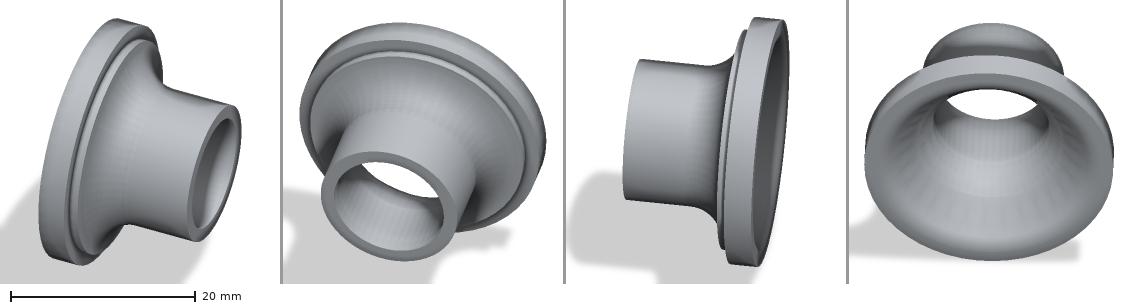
import cadquery as cq
import math

flange_diameter = 27.0
flange_thickness = 3.0
land_diameter = 24.0
land_thickness = 0.92
relief_width = 0.08
relief_depth = 0.1
tube_diameter = 15.4
total_length = 15.0
neck_radius = 4.02

bore_diameter = 12.4
lip_diameter = 24.5
lip_radius = 2.0
throat_radius = 6.0
throat_depth = 8.0

land_start = flange_thickness + relief_width
land_end = land_start + land_thickness
neck_end = land_end + neck_radius
tube_r = tube_diameter / 2
land_r = land_diameter / 2
relief_r = land_r - relief_depth
flange_r = flange_diameter / 2
bore_r = bore_diameter / 2
lip_r = lip_diameter / 2


def point_on_arc(center, radius, angle):
    """Point at an angle in radians, measured from the inward radial toward -X."""
    return (center[0] - radius * math.sin(angle), center[1] - radius * math.cos(angle))


lip_center = (lip_radius, lip_r)
throat_center = (throat_depth, bore_r + throat_radius)
center_dx = throat_center[0] - lip_center[0]
center_dr = throat_center[1] - lip_center[1]
center_distance = math.hypot(center_dx, center_dr)
cone_angle = (
    math.asin((throat_radius - lip_radius) / center_distance)
    - math.atan2(center_dr, center_dx)
)

cone_start = point_on_arc(lip_center, lip_radius, cone_angle)
cone_end = point_on_arc(throat_center, throat_radius, cone_angle)
lip_middle = point_on_arc(lip_center, lip_radius, (math.pi / 2 + cone_angle) / 2)
throat_middle = point_on_arc(throat_center, throat_radius, cone_angle / 2)

neck_center = (neck_end, tube_r + neck_radius)
neck_middle = point_on_arc(neck_center, neck_radius, math.pi / 4)

profile = (
    cq.Workplane("XY")
    .moveTo(0, lip_r)
    .lineTo(0, flange_r)
    .lineTo(flange_thickness, flange_r)
    .lineTo(flange_thickness, relief_r)
    .lineTo(land_start, relief_r)
    .lineTo(land_start, land_r)
    .lineTo(land_end, land_r)
    .lineTo(land_end, neck_center[1])
    .threePointArc(neck_middle, (neck_end, tube_r))
    .lineTo(total_length, tube_r)
    .lineTo(total_length, bore_r)
    .lineTo(throat_depth, bore_r)
    .threePointArc(throat_middle, cone_end)
    .lineTo(*cone_start)
    .threePointArc(lip_middle, (0, lip_r))
    .close()
)

result = profile.revolve(360, (0, 0, 0), (1, 0, 0))